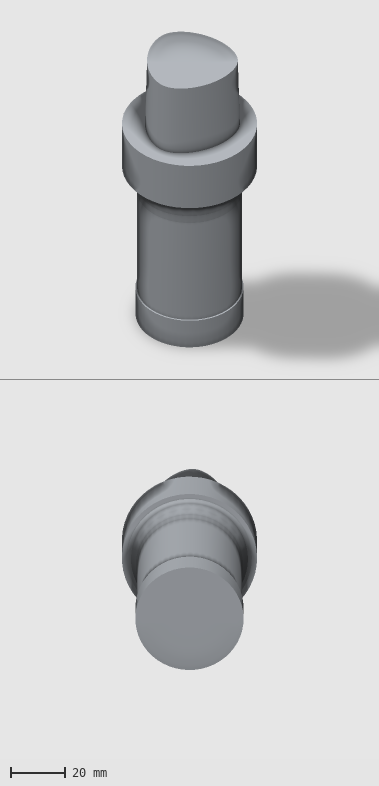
import cadquery as cq
import math

total_height = 120.0
shank_height = 30.0
flange_height = 20.0
foot_height = 12.6

flange_radius = 49.9 / 2
body_radius = 38.8 / 2
foot_radius = 40.0 / 2

slim_cone_height = 3.6
flare_height = 7.0
bevel_height = 1.0
slim_cone_top_radius = 19.8
flare_top_radius = 21.6
bevel_top_radius = 23.0

shank_base_radius = 17.5
shank_taper = 1 / 40
lobe_offset = 1.1
lobe_direction = -90.0

flange_top = total_height - shank_height
flange_bottom = flange_top - flange_height
flare_top = flange_bottom - bevel_height
slim_cone_top = flare_top - flare_height
body_top = slim_cone_top - slim_cone_height


def make_body():
    """Revolve the foot, barrel, neck and flange about Z."""
    return (
        cq.Workplane("XZ")
        .lineTo(foot_radius, 0)
        .lineTo(foot_radius, foot_height)
        .lineTo(body_radius, foot_height)
        .lineTo(body_radius, body_top)
        .lineTo(slim_cone_top_radius, slim_cone_top)
        .lineTo(flare_top_radius, flare_top)
        .lineTo(bevel_top_radius, flange_bottom)
        .lineTo(flange_radius, flange_bottom)
        .lineTo(flange_radius, flange_top)
        .lineTo(0, flange_top)
        .close()
        .revolve(360, (0, 0, 0), (0, 1, 0))
    )


def lobed_point(angle, mean_radius):
    """Point on a three-lobed curve of constant width, first lobe on +X."""
    x = (
        mean_radius * math.cos(angle)
        + 2 * lobe_offset * math.cos(2 * angle)
        - lobe_offset * math.cos(4 * angle)
    )
    y = (
        mean_radius * math.sin(angle)
        - 2 * lobe_offset * math.sin(2 * angle)
        - lobe_offset * math.sin(4 * angle)
    )
    return x, y


def lobed_wire(mean_radius, height):
    """Closed lobed outline at the given height."""
    samples = 36
    points = [lobed_point(2 * math.pi * i / samples, mean_radius) for i in range(samples)]
    outline = cq.Workplane("XY").workplane(offset=height)
    outline = outline.spline([cq.Vector(x, y) for x, y in points], periodic=True)
    return outline.wire().val()


def make_shank():
    """Loft the tapered lobed shank and turn one lobe to -Y."""
    top_radius = shank_base_radius - shank_taper * shank_height
    base = lobed_wire(shank_base_radius, flange_top)
    top = lobed_wire(top_radius, total_height)
    shank = cq.Solid.makeLoft([base, top], True)
    return shank.rotate(cq.Vector(0, 0, 0), cq.Vector(0, 0, 1), lobe_direction)


result = make_body().union(cq.Workplane(make_shank()))